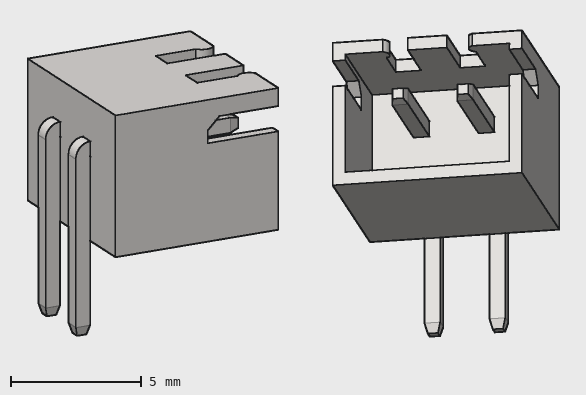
import cadquery as cq

HOUSING_WIDTH = 7.4
HOUSING_DEPTH = 7.0
HOUSING_HEIGHT = 5.75
OVERALL_HEIGHT = 9.55
HOUSING_BOTTOM = OVERALL_HEIGHT - HOUSING_HEIGHT
WALL = 0.5
CAVITY_DEPTH = 5.0

WINDOW_DEPTH = 3.03
WINDOW_TOP = OVERALL_HEIGHT - 0.74
WINDOW_SILL = OVERALL_HEIGHT - 1.76
WINDOW_CHAMFER = 0.5

SLOT_DEPTH = 2.49
SLOT_INNER_X = 0.76
SLOT_OUTER_X = 1.75
BUMP_LENGTH = 0.76
BUMP_HEIGHT = 0.2

PIN_SIZE = 0.62
PIN_PITCH = 2.54
PIN_TOP = OVERALL_HEIGHT - 1.71
PIN_END_GAP = 0.58
TIP_LENGTH = 0.4
TIP_SIZE = 0.4
PIN_CENTRE_Z = PIN_TOP - PIN_SIZE / 2
PIN_POSITIONS = [-PIN_PITCH / 2, PIN_PITCH / 2]


def make_cavity():
    """Rectangular socket open at +Y."""
    return cq.Workplane("XY").box(
        HOUSING_WIDTH - 2 * WALL, CAVITY_DEPTH, HOUSING_HEIGHT - 2 * WALL, centered=(True, False, False)
    ).translate((0, HOUSING_DEPTH - CAVITY_DEPTH, HOUSING_BOTTOM + WALL))


def make_side_windows():
    """One chamfered prism that passes through both side walls."""
    window_end = HOUSING_DEPTH - WINDOW_DEPTH
    return (
        cq.Workplane("YZ")
        .moveTo(HOUSING_DEPTH, WINDOW_SILL)
        .lineTo(window_end, WINDOW_SILL)
        .lineTo(window_end, WINDOW_TOP - WINDOW_CHAMFER)
        .lineTo(window_end + WINDOW_CHAMFER, WINDOW_TOP)
        .lineTo(HOUSING_DEPTH, WINDOW_TOP)
        .close()
        .extrude(HOUSING_WIDTH / 2, both=True)
    )


def make_top_slot(side):
    """Slot in the top wall; side is -1 for the -X slot and +1 for the +X slot."""
    inner_x = side * SLOT_INNER_X
    outer_x = side * SLOT_OUTER_X
    slot_end = HOUSING_DEPTH - SLOT_DEPTH
    bump_peak = (outer_x - side * BUMP_HEIGHT, HOUSING_DEPTH - BUMP_LENGTH / 2)
    return (
        cq.Workplane("XY")
        .workplane(offset=OVERALL_HEIGHT - WALL)
        .moveTo(inner_x, HOUSING_DEPTH)
        .lineTo(inner_x, slot_end)
        .lineTo(outer_x, slot_end)
        .lineTo(outer_x, HOUSING_DEPTH - BUMP_LENGTH)
        .threePointArc(bump_peak, (outer_x, HOUSING_DEPTH))
        .close()
        .extrude(WALL)
    )


def make_pin_tip(base_plane):
    """Square taper that grows along the normal of base_plane."""
    return (
        cq.Workplane(base_plane)
        .rect(PIN_SIZE, PIN_SIZE)
        .workplane(offset=TIP_LENGTH)
        .rect(TIP_SIZE, TIP_SIZE)
        .loft(ruled=True)
    )


def make_pin(x):
    """Pin with a contact leg along +Y, a rounded bend and a solder leg along -Z."""
    contact_shoulder = HOUSING_DEPTH - PIN_END_GAP - TIP_LENGTH
    contact_leg = (
        cq.Workplane("XY")
        .box(PIN_SIZE, contact_shoulder, PIN_SIZE, centered=(True, False, False))
        .translate((x, 0, PIN_TOP - PIN_SIZE))
    )
    solder_leg = (
        cq.Workplane("YZ", origin=(x, 0, 0))
        .moveTo(0, TIP_LENGTH)
        .lineTo(0, PIN_TOP)
        .radiusArc((-PIN_SIZE, PIN_TOP - PIN_SIZE), -PIN_SIZE)
        .lineTo(-PIN_SIZE, TIP_LENGTH)
        .close()
        .extrude(PIN_SIZE / 2, both=True)
    )
    contact_tip = make_pin_tip(cq.Plane((x, contact_shoulder, PIN_CENTRE_Z), (1, 0, 0), (0, 1, 0)))
    solder_tip = make_pin_tip(cq.Plane((x, -PIN_SIZE / 2, TIP_LENGTH), (1, 0, 0), (0, 0, -1)))
    return contact_leg.union(solder_leg).union(contact_tip).union(solder_tip)


def make_housing(pins):
    """Housing with its socket, windows, slots and a fitted hole for each pin."""
    housing = (
        cq.Workplane("XY")
        .box(HOUSING_WIDTH, HOUSING_DEPTH, HOUSING_HEIGHT, centered=(True, False, False))
        .translate((0, 0, HOUSING_BOTTOM))
        .cut(make_cavity())
        .cut(make_side_windows())
    )
    for side in (-1, 1):
        housing = housing.cut(make_top_slot(side))
    for pin in pins:
        housing = housing.cut(pin)
    return housing


pins = [make_pin(x) for x in PIN_POSITIONS]
housing = make_housing(pins)

result = cq.Compound.makeCompound([housing.val(), *[pin.val() for pin in pins]])